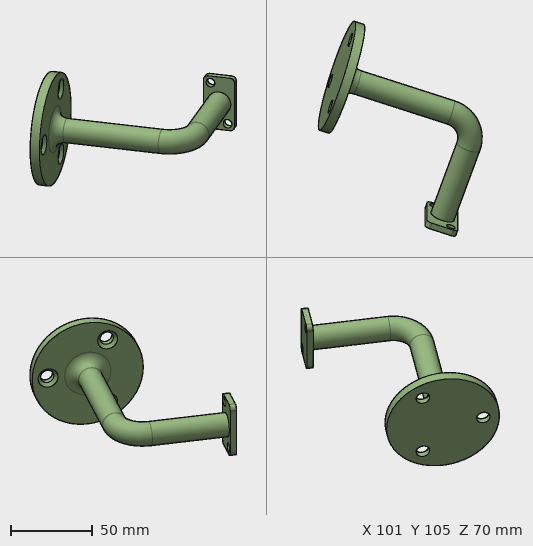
import cadquery as cq

overall_length = 105.0

disc_diameter = 70.0
disc_thickness = 6.0
disc_hole_diameter = 8.3
countersink_diameter = 12.5
countersink_angle = 90
disc_hole_circle_radius = 25.0
disc_hole_count = 3

arm_diameter = 15.0
arm_offset = 91.0
bend_radius = 17.5
flare_radius = 7.0

plate_width = 20.0
plate_height = 35.0
plate_thickness = 4.0
plate_corner_radius = 3.0
plate_hole_diameter = 5.5
plate_hole_offset_x = 5.5
plate_hole_offset_z = 13.0

arm_radius = arm_diameter / 2
plate_outer_y = overall_length - disc_diameter / 2
plate_inner_y = plate_outer_y - plate_thickness


def make_disc():
    """Round wall disc with countersunk screw holes, one of them on the -Y side."""
    return (
        cq.Workplane("YZ")
        .circle(disc_diameter / 2)
        .extrude(disc_thickness)
        .faces(">X")
        .workplane(origin=(0, 0, 0))
        .polarArray(disc_hole_circle_radius, 180, 360, disc_hole_count)
        .cskHole(disc_hole_diameter, countersink_diameter, countersink_angle)
    )


def make_flare():
    """Trumpet-shaped blend, revolved around the X axis."""
    flare_end_x = disc_thickness + flare_radius
    flare_base_radius = arm_radius + flare_radius
    half_chord = flare_radius * 0.5**0.5
    arc_middle = (flare_end_x - half_chord, flare_base_radius - half_chord)
    return (
        cq.Workplane("XY")
        .moveTo(disc_thickness, 0)
        .lineTo(disc_thickness, flare_base_radius)
        .threePointArc(arc_middle, (flare_end_x, arm_radius))
        .lineTo(flare_end_x, 0)
        .close()
        .revolve(360, (0, 0, 0), (1, 0, 0))
    )


def make_arm():
    """Round bar that leaves the disc along X and turns towards +Y."""
    path = (
        cq.Workplane("XY")
        .moveTo(disc_thickness, 0)
        .lineTo(arm_offset - bend_radius, 0)
        .tangentArcPoint((arm_offset, bend_radius), relative=False)
        .lineTo(arm_offset, plate_inner_y)
    )
    return cq.Workplane("YZ", origin=(disc_thickness, 0, 0)).circle(arm_radius).sweep(path)


def make_plate():
    """Rounded plate with two holes in diagonally opposite corners."""
    hole_places = [
        (-plate_hole_offset_x, plate_hole_offset_z),
        (plate_hole_offset_x, -plate_hole_offset_z),
    ]
    plate_plane = cq.Workplane("XZ", origin=(arm_offset, plate_outer_y, 0))
    plate = plate_plane.rect(plate_width, plate_height).extrude(plate_thickness)
    plate = plate.edges("|Y").fillet(plate_corner_radius)
    holes = plate_plane.pushPoints(hole_places).circle(plate_hole_diameter / 2).extrude(plate_thickness)
    return plate.cut(holes)


result = make_disc().union(make_flare()).union(make_arm()).union(make_plate())